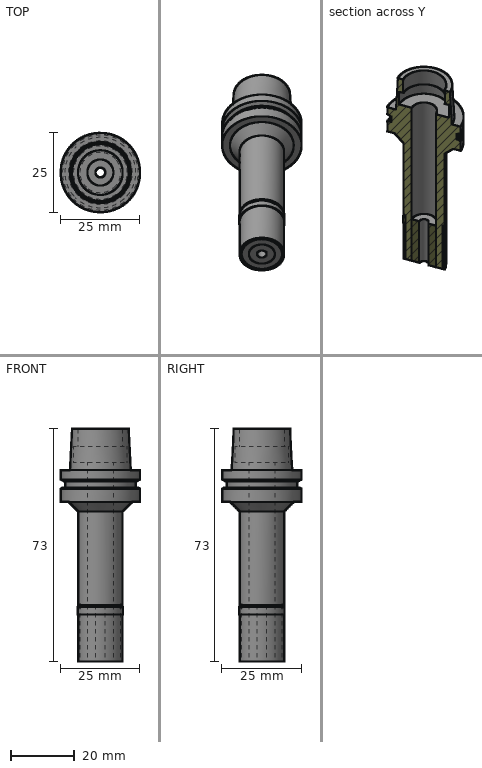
import cadquery as cq


total_length = 73.0
flange_radius = 12.5

taper_length = 13.0
taper_base_radius = 9.55
taper_top_radius = 8.9
mouth_radius = 7.0
mouth_depth = 5.6
undercut_radius = 8.4
cavity_depth = 10.6

flange_thickness = 10.0
groove_top_drop = 2.9
groove_width = 3.0
groove_radius = 11.1
groove_upper_flank = 0.7
groove_ledge_radius = 11.8
groove_lower_flank = 0.4

cone_top_radius = 10.0
shank_radius = 7.0
shank_bottom = 17.75
spigot_radius = 6.35

nut_length = 17.1
collar_height = 2.4
collar_radius = 7.15

collet_radius = 4.1
collet_length = nut_length
tool_hole_radius = 1.5

flange_top = total_length - taper_length
flange_bottom = flange_top - flange_thickness
cone_bottom = flange_bottom - (cone_top_radius - shank_radius)
groove_top = flange_top - groove_top_drop
groove_bottom = groove_top - groove_width
cavity_floor = total_length - cavity_depth


def revolve_profile(points):
    """Revolve a closed outline of (radius, height) points around Z."""
    return cq.Workplane("XZ").polyline(points).close().revolve(360, (0, 0), (0, 1))


def make_holder():
    """Holder turned in one piece from spigot to taper, hollow all the way through."""
    return revolve_profile([
        (collet_radius, 0),
        (spigot_radius, 0),
        (spigot_radius, shank_bottom),
        (shank_radius, shank_bottom),
        (shank_radius, cone_bottom),
        (cone_top_radius, flange_bottom),
        (flange_radius, flange_bottom),
        (flange_radius, groove_bottom),
        (groove_ledge_radius, groove_bottom + groove_lower_flank),
        (groove_radius, groove_bottom + groove_lower_flank),
        (groove_radius, groove_top - groove_upper_flank),
        (flange_radius, groove_top),
        (flange_radius, flange_top),
        (taper_base_radius, flange_top),
        (taper_top_radius, total_length),
        (mouth_radius, total_length),
        (mouth_radius, total_length - mouth_depth),
        (undercut_radius, total_length - mouth_depth),
        (undercut_radius, cavity_floor),
        (collet_radius, cavity_floor),
    ])


def make_nut():
    """Slim sleeve nut around the spigot, with a slightly larger collar at its upper end."""
    collar_bottom = nut_length - collar_height
    return revolve_profile([
        (spigot_radius, 0),
        (shank_radius, 0),
        (shank_radius, collar_bottom),
        (collar_radius, collar_bottom),
        (collar_radius, nut_length),
        (spigot_radius, nut_length),
    ])


def make_collet():
    """Straight collet filling the holder bore at the nose, with a through hole for the tool."""
    return (
        cq.Workplane("XY")
        .circle(collet_radius)
        .circle(tool_hole_radius)
        .extrude(collet_length)
    )


holder = make_holder()
nut = make_nut()
collet = make_collet()

result = cq.Compound.makeCompound([holder.val(), nut.val(), collet.val()])